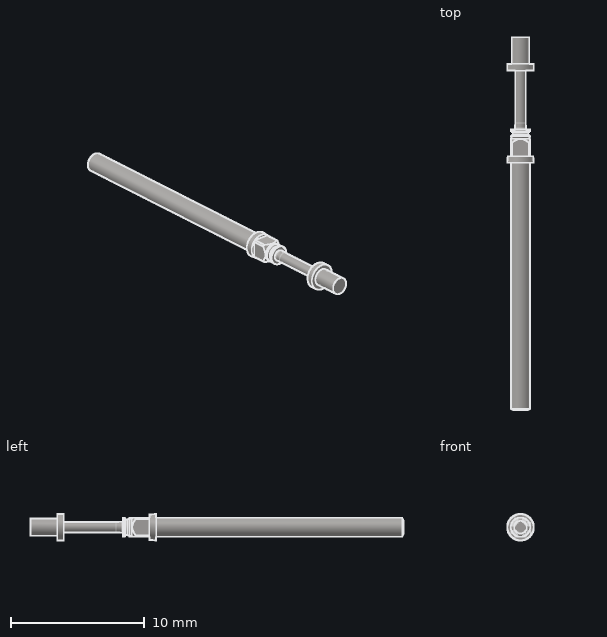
import cadquery as cq

total_length = 27.9

tip_diameter = 1.3
tip_length = 2.0
disc_diameter = 2.0
disc_thickness = 0.5
rod_diameter = 0.8
flare_start = 6.4
flare_end = 6.78

stem_diameter = 0.85
lip_diameter = 1.45
lip_start = 6.9
lip_thickness = 0.15
groove_diameter = 1.17
groove_start = 7.15
groove_end = 7.28
second_lip_position = 7.42
neck_diameter = 1.28

square_start = 7.6
square_width = 1.45
corner_diameter = 1.9
lead_in_diameter = 1.4
lead_in_length = 0.28

collar_start = 8.9
collar_start_diameter = 1.93
collar_diameter = 2.0
collar_thickness = 0.5
barrel_diameter = 1.45
end_face_diameter = 0.95
end_chamfer_length = 0.1


def turned(stations):
    """Solid of revolution about Y from (distance from tip, diameter) stations."""
    half = total_length / 2
    outline = [(diameter / 2, half - distance) for distance, diameter in stations]
    tip_side_y = outline[0][1]
    barrel_side_y = outline[-1][1]
    points = [(0, tip_side_y)] + outline + [(0, barrel_side_y)]
    return cq.Workplane("XY").polyline(points).close().revolve(360, (0, 0), (0, 1))


def plunger():
    disc_end = tip_length + disc_thickness
    return turned([
        (0, tip_diameter),
        (tip_length, tip_diameter),
        (tip_length, disc_diameter),
        (disc_end, disc_diameter),
        (disc_end, rod_diameter),
        (flare_start, rod_diameter),
        (flare_end, stem_diameter),
    ])


def neck():
    return turned([
        (flare_end, stem_diameter),
        (lip_start, stem_diameter),
        (lip_start, lip_diameter),
        (lip_start + lip_thickness, lip_diameter),
        (groove_start, groove_diameter),
        (groove_end, groove_diameter),
        (second_lip_position, lip_diameter),
        (square_start, neck_diameter),
    ])


def wrench_square():
    turned_blank = turned([
        (square_start, lead_in_diameter),
        (square_start + lead_in_length, corner_diameter),
        (collar_start, corner_diameter),
    ])
    square_bar = cq.Workplane("XY").box(square_width, total_length, square_width)
    return turned_blank.intersect(square_bar)


def barrel():
    collar_end = collar_start + collar_thickness
    return turned([
        (collar_start, collar_start_diameter),
        (collar_end, collar_diameter),
        (collar_end, barrel_diameter),
        (total_length - end_chamfer_length, barrel_diameter),
        (total_length, end_face_diameter),
    ])


result = plunger().union(neck()).union(wrench_square()).union(barrel())